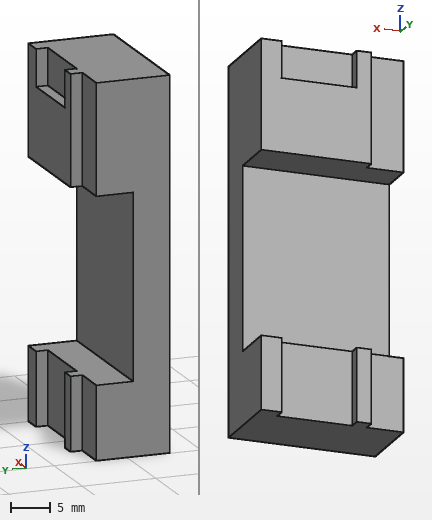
import cadquery as cq

width = 20.0
height = 50.0
body_depth = 10.0

pad_start = 5.0
pad_depth = 1.6
total_depth = body_depth + pad_depth

web_depth = 5.0
recess_bottom = 10.0
recess_height = 25.0

left_rail_width = 2.0
right_rail_width = 2.8
channel_start = pad_start + left_rail_width
channel_width = width - right_rail_width - channel_start
upper_channel_height = 5.0


def corner_box(x_start, y_start, z_start, x_size, y_size, z_size):
    """Box placed by its lowest corner."""
    box = cq.Workplane("XY").box(x_size, y_size, z_size, centered=False)
    return box.translate((x_start, y_start, z_start))


def body():
    """Plain block behind the flat front face."""
    return corner_box(0, 0, 0, width, body_depth, height)


def back_pad():
    """Full-height pad standing on the back face."""
    return corner_box(pad_start, body_depth, 0, width - pad_start, pad_depth, height)


def recess():
    """Cutter for the recess behind the front web."""
    return corner_box(0, web_depth, recess_bottom, width, total_depth - web_depth, recess_height)


def channel(z_start, channel_height):
    """Cutter for one stretch of channel, as deep as the pad."""
    return corner_box(channel_start, body_depth, z_start, channel_width, pad_depth, channel_height)


lower_channel = channel(0, recess_bottom)
upper_channel = channel(height - upper_channel_height, upper_channel_height)

result = body().union(back_pad()).cut(recess()).cut(lower_channel).cut(upper_channel)